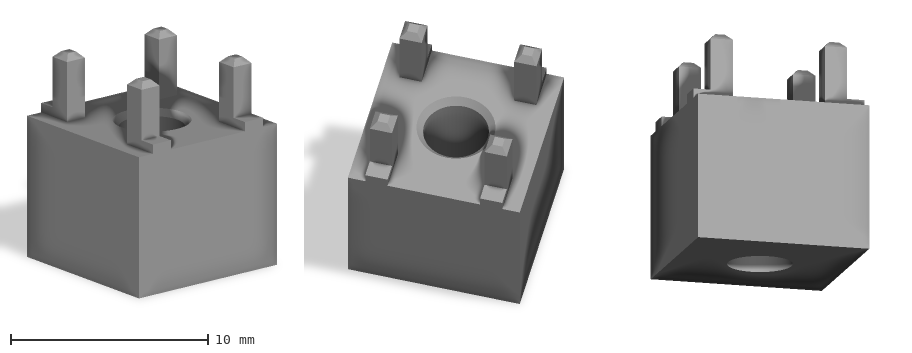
import cadquery as cq

block_side = 9.0
block_height = 7.5
total_height = 11.0

hole_diameter = 3.33
countersink_diameter = 4.0
countersink_angle = 90.0

pin_width = 1.17
pin_spacing = 6.01
foot_height = 0.5
tip_chamfer = 0.32


def make_pin(side_x, side_y):
    """Pin with a chamfered tip and its foot; side_x and side_y are -1 or 1."""
    pin_x = side_x * pin_spacing / 2
    pin_y = side_y * pin_spacing / 2
    post = (
        cq.Workplane("XY", origin=(pin_x, pin_y, block_height))
        .rect(pin_width, pin_width)
        .extrude(total_height - block_height)
        .faces(">Z")
        .chamfer(tip_chamfer)
    )
    foot_length = block_side / 2 - pin_spacing / 2
    foot_x = side_x * (block_side - foot_length) / 2
    foot = (
        cq.Workplane("XY", origin=(foot_x, pin_y, block_height))
        .rect(foot_length, pin_width)
        .extrude(foot_height)
    )
    return post.union(foot)


result = (
    cq.Workplane("XY")
    .rect(block_side, block_side)
    .extrude(block_height)
    .faces(">Z")
    .workplane()
    .cskHole(hole_diameter, countersink_diameter, countersink_angle)
)

for side_x in (-1, 1):
    for side_y in (-1, 1):
        result = result.union(make_pin(side_x, side_y))